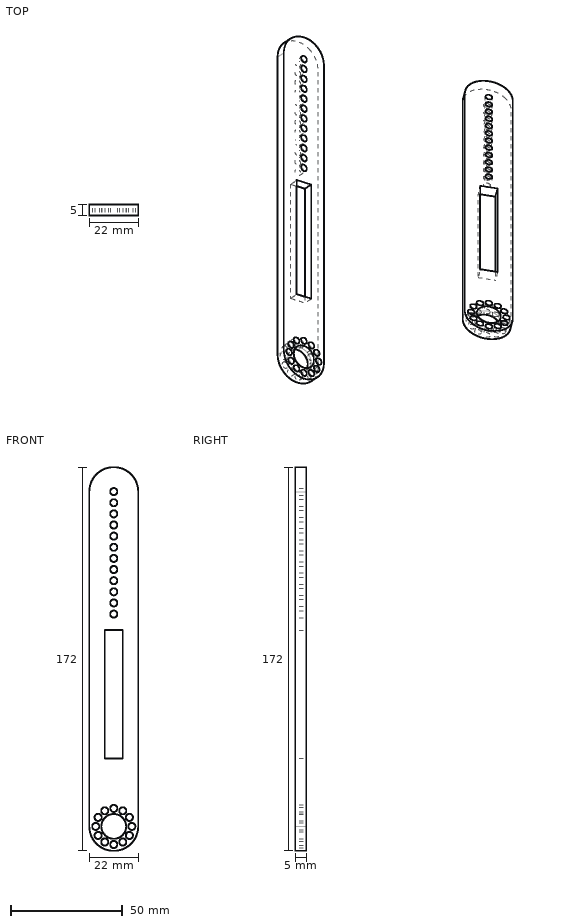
import cadquery as cq

LENGTH = 172.0
WIDTH = 22.0
THICKNESS = 5.0
END_CENTER = LENGTH / 2 - WIDTH / 2

SMALL_HOLE_DIAMETER = 3.1
ROW_COUNT = 12
ROW_PITCH = 5.0

WINDOW_WIDTH = 7.9
WINDOW_HEIGHT = 57.5
WINDOW_CENTER = -15.8

BORE_DIAMETER = 11.0
RING_RADIUS = 8.0
RING_COUNT = 12


def front_plane(height):
    """Sketch plane at mid-thickness, centred at the given height."""
    return cq.Workplane("XZ", origin=(0, 0, height))


def make_bar():
    return front_plane(0).slot2D(LENGTH, WIDTH, 90).extrude(THICKNESS / 2, both=True)


def make_row_holes():
    centers = [(0, -i * ROW_PITCH) for i in range(ROW_COUNT)]
    holes = front_plane(END_CENTER).pushPoints(centers).circle(SMALL_HOLE_DIAMETER / 2)
    return holes.extrude(THICKNESS, both=True)


def make_window():
    return front_plane(WINDOW_CENTER).rect(WINDOW_WIDTH, WINDOW_HEIGHT).extrude(THICKNESS, both=True)


def make_bore():
    return front_plane(-END_CENTER).circle(BORE_DIAMETER / 2).extrude(THICKNESS, both=True)


def make_ring_holes():
    ring = front_plane(-END_CENTER).polarArray(RING_RADIUS, 0, 360, RING_COUNT)
    return ring.circle(SMALL_HOLE_DIAMETER / 2).extrude(THICKNESS, both=True)


result = (
    make_bar()
    .cut(make_row_holes())
    .cut(make_window())
    .cut(make_bore())
    .cut(make_ring_holes())
)